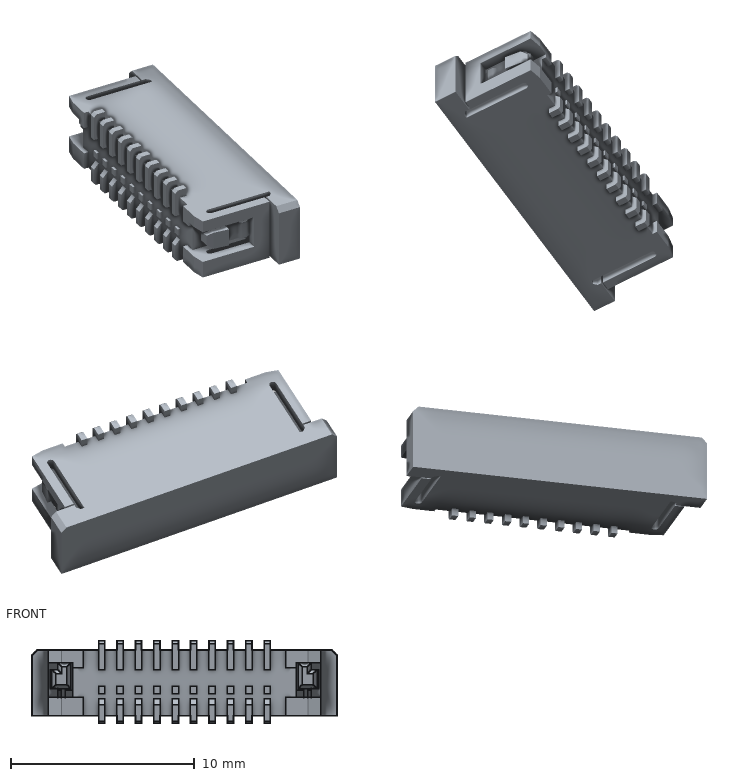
import cadquery as cq


length = 16.6
height = 3.59
flange_depth = 1.31
flange_chamfer = 0.3
body_half = 7.42
gap = 0.1
front_wall_y = -5.45

ear_tip_y = -5.71
ear_corner_y = -5.56
ear_slope_x = 6.7
ear_inner_x = 5.5
ear_lip_z = 2.6

pocket_bottom = 1.0
pocket_top = 2.89
pocket_inner_x = 6.08
pocket_rear_y = -2.35

slot_outer_x = 6.89
slot_width = 0.4
slot_inner_x = slot_outer_x - slot_width
slot_rear_y = -0.9
slot_front_y = -4.91
slot_radius = slot_width / 2
slot_chamfer = slot_width / 2
channel_floor = 1.4

latch_bottom = 1.48
latch_inner_x = 6.18
latch_tip_y = -5.1
latch_taper = 0.32
latch_inset = 0.22
lug_outer_x = 7.2
lug_rear_outer_x = 7.3
lug_top = 2.5
lug_rear_y = -3.87
barb_outer_x = 7.04
barb_slope_y = -2.62
barb_edge_y = -2.92
barb_front_y = -3.09

terminal_count = 10
terminal_span = 9.0
terminal_width = 0.35
terminal_front_y = -5.75
terminal_rear_y = -5.05
upper_rise = 0.5
upper_bottom = 2.49
upper_chamfer = 0.17
lower_drop = 0.42
lower_shoulder = 0.6
lower_top = 0.91
lower_chamfer = 0.12
tab_front_y = -5.58
tab_bottom = 1.2
tab_top = 1.6


def box(x0, x1, y0, y1, z0, z1):
    """Box between two opposite corners."""
    return cq.Workplane("XY").box(x1 - x0, y1 - y0, z1 - z0, centered=False).translate((x0, y0, z0))


def both_ends(shape):
    """Shape at the -X end joined with its mirror image at the +X end."""
    return shape.union(shape.mirror("YZ"))


def make_housing():
    flange = box(-length / 2, length / 2, -flange_depth, 0, 0, height)
    flange = flange.edges("|Y and >Z").chamfer(flange_chamfer)
    left_outline = [
        (-slot_inner_x, -flange_depth),
        (-slot_inner_x, -flange_depth - gap),
        (-body_half, -flange_depth - gap),
        (-body_half, ear_corner_y),
        (-ear_slope_x, ear_tip_y),
        (-ear_inner_x, ear_tip_y),
        (-ear_inner_x, front_wall_y),
    ]
    right_outline = [(-x, y) for x, y in reversed(left_outline)]
    body = cq.Workplane("XY").polyline(left_outline + right_outline).close().extrude(height)
    return flange.union(body)


def make_slot():
    """Through slot with a round front end and one chamfered corner at the rear."""
    return (
        cq.Workplane("XY")
        .moveTo(-slot_inner_x, slot_rear_y)
        .lineTo(-slot_inner_x, slot_front_y + slot_radius)
        .threePointArc(
            (-slot_outer_x + slot_radius, slot_front_y),
            (-slot_outer_x, slot_front_y + slot_radius),
        )
        .lineTo(-slot_outer_x, slot_rear_y - slot_chamfer)
        .lineTo(-slot_outer_x + slot_chamfer, slot_rear_y)
        .close()
        .extrude(height)
    )


def make_latch_space():
    """Everything cut from one end of the housing around the latch."""
    pocket = box(-body_half, -pocket_inner_x, ear_tip_y, pocket_rear_y, pocket_bottom, pocket_top)
    channel = box(-slot_outer_x, -pocket_inner_x, pocket_rear_y, slot_rear_y, channel_floor, pocket_top)
    front_opening = box(-pocket_inner_x, -ear_inner_x, ear_tip_y, front_wall_y, pocket_bottom, ear_lip_z)
    return make_slot().union(pocket).union(channel).union(front_opening)


def lug_section(y, outer_x, inset=0.0):
    """Stepped wire of the lug and arm in the plane at y, drawn in by inset all round."""
    left = -outer_x + inset
    step = -slot_outer_x + inset
    right = -latch_inner_x - inset
    bottom = latch_bottom + inset
    shoulder = lug_top - inset
    top = pocket_top - inset
    outline = [
        (left, bottom),
        (right, bottom),
        (right, top),
        (step, top),
        (step, shoulder),
        (left, shoulder),
    ]
    return cq.Wire.makePolygon([cq.Vector(x, y, z) for x, z in outline], close=True)


def make_latch():
    """Latch arm with a flared side lug, a pointed tip and a retaining barb at the rear."""
    lug_front_y = latch_tip_y + latch_taper
    rear = lug_section(lug_rear_y, lug_rear_outer_x)
    front = lug_section(lug_front_y, lug_outer_x)
    end = lug_section(latch_tip_y, lug_outer_x, latch_inset)
    lug = cq.Solid.makeLoft([rear, front], True)
    tip = cq.Solid.makeLoft([front, end], True)
    arm = box(-slot_outer_x, -latch_inner_x, lug_rear_y, slot_rear_y, latch_bottom, pocket_top)
    barb_outline = [
        (-slot_outer_x, pocket_rear_y),
        (-barb_outer_x, barb_slope_y),
        (-barb_outer_x, barb_edge_y),
        (-slot_outer_x, barb_front_y),
    ]
    barb = cq.Workplane("XY", origin=(0, 0, latch_bottom)).polyline(barb_outline).close()
    barb = barb.extrude(lug_top - latch_bottom)
    return arm.union(cq.Workplane(lug)).union(cq.Workplane(tip)).union(barb)


def make_terminal(x):
    """Upper lead, contact tab and lower lead of the terminal centred at x."""
    upper_top = height + upper_rise
    upper_profile = [
        (front_wall_y, upper_bottom),
        (terminal_front_y, upper_bottom),
        (terminal_front_y, upper_top - upper_chamfer),
        (terminal_front_y + upper_chamfer, upper_top),
        (terminal_rear_y, upper_top),
        (terminal_rear_y, height),
        (front_wall_y, height),
    ]
    tab_profile = [
        (front_wall_y, tab_bottom),
        (tab_front_y, tab_bottom),
        (tab_front_y, tab_top),
        (front_wall_y, tab_top),
    ]
    lower_profile = [
        (front_wall_y, lower_top),
        (terminal_front_y, lower_shoulder),
        (terminal_front_y, lower_chamfer - lower_drop),
        (terminal_front_y + lower_chamfer, -lower_drop),
        (terminal_rear_y, -lower_drop),
        (terminal_rear_y, 0),
        (front_wall_y, 0),
    ]
    plane = cq.Workplane("YZ", origin=(x - terminal_width / 2, 0, 0))
    return [
        plane.polyline(profile).close().extrude(terminal_width)
        for profile in (upper_profile, tab_profile, lower_profile)
    ]


result = make_housing().cut(both_ends(make_latch_space()))
result = result.union(both_ends(make_latch()))

terminal_pitch = terminal_span / (terminal_count - 1)
for index in range(terminal_count):
    terminal_x = index * terminal_pitch - terminal_span / 2
    for piece in make_terminal(terminal_x):
        result = result.union(piece)